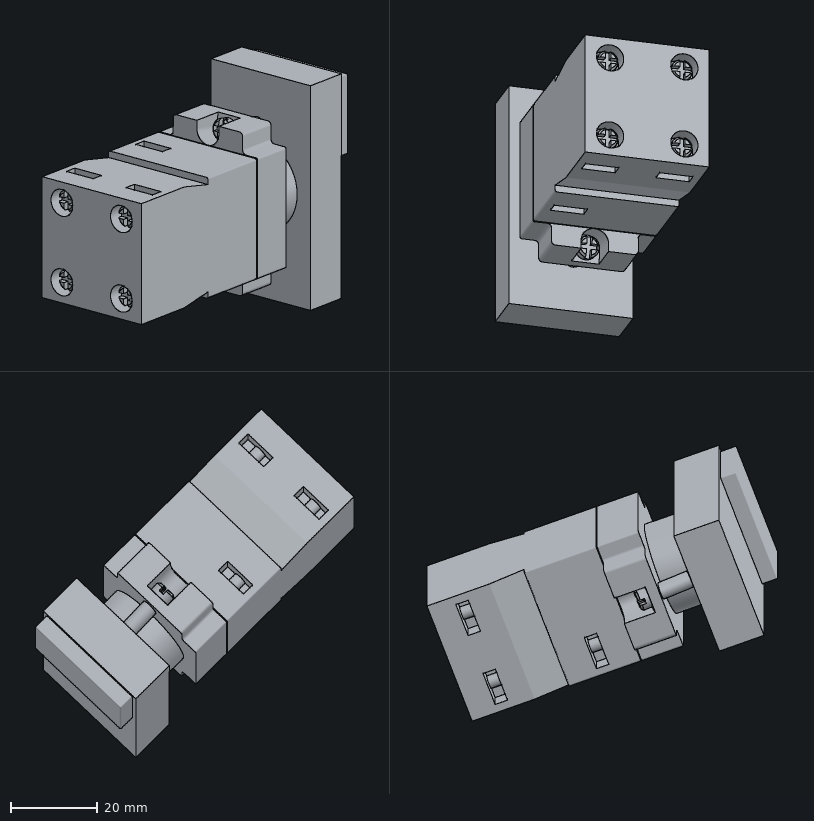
import cadquery as cq


CONTACT_END = 15.5
STEP_Y = 24.0
FLANGE_FRONT = 41.95
FLANGE_BACK = 52.2
BEZEL_FRONT = 61.0
BEZEL_BACK = 72.1
TOTAL_LENGTH = 76.0

WIDTH = 30.0
BODY_HEIGHT = 29.65
STEP_DEPTH = 1.7
CORNER_RADIUS = 0.5
JOINT_WIDTH = 0.19
JOINT_DEPTH = 0.15
BEZEL_HEIGHT = 55.0
BARREL_DIAMETER = 22.0
BUTTON_WIDTH = 27.75
BUTTON_BOTTOM = 6.7
BUTTON_TOP = 26.3
BUTTON_EDGE = 0.3

TAB_WIDTH = 21.0
FLANGE_HEIGHT = 40.1
TAB_RADIUS = 1.0

HEAD_DIAMETER = 5.1
HEAD_HEIGHT = 2.65
HEAD_CHAMFER = 0.5
SHAFT_DIAMETER = 3.2
CROSS_WIDTH = 1.3
CROSS_DEPTH = 1.5

SCREW_X = 9.0
SCREW_Z = 9.7
SCREW_HOLE_DIAMETER = 6.5
HEAD_RECESS = 1.5
SLOT_LENGTH = 8.05
SLOT_WIDTH = 3.05
CONTACT_SLOT_Y = 8.0
HOLDER_SLOT_Y = 33.0
TERMINAL_SCREW_LENGTH = HOLDER_SLOT_Y + SLOT_WIDTH

TILT = 10.0
CLAMP_Z = 18.1
CLAMP_HEAD_DIAMETER = 5.25
CLAMP_CROSS_LENGTH = 4.3
CLAMP_SHAFT_DIAMETER = 4.0
CLAMP_TIP_CHAMFER = 1.0
CLAMP_TIP = 18.7
POCKET_WIDTH = 6.6
POCKET_DEPTH = 7.2


def box(x_range, y_range, z_range):
    """Box between the given limits."""
    sizes = [high - low for low, high in (x_range, y_range, z_range)]
    corner = (x_range[0], y_range[0], z_range[0])
    return cq.Workplane("XY").box(*sizes, centered=False).translate(corner)


def centred_box(width, height, y_front, y_back):
    """Box centred on the Y axis between two Y positions."""
    return box((-width / 2, width / 2), (y_front, y_back), (-height / 2, height / 2))


def rod(diameter, y_front, y_back):
    """Cylinder on the Y axis between two Y positions."""
    plane = cq.Workplane("XZ", origin=(0, y_front, 0))
    return plane.circle(diameter / 2).extrude(y_front - y_back)


def screw(head_diameter, cross_length, shaft_diameter, length, tip_chamfer=0):
    """Cross-head screw on the Y axis with the top of its head at Y = 0."""
    head = rod(head_diameter, 0, HEAD_HEIGHT).faces("<Y").chamfer(HEAD_CHAMFER)
    head = head.cut(centred_box(CROSS_WIDTH, head_diameter, 0, CROSS_DEPTH))
    head = head.cut(centred_box(cross_length, CROSS_WIDTH, 0, CROSS_DEPTH))
    shaft = rod(shaft_diameter, HEAD_HEIGHT, length)
    if tip_chamfer:
        shaft = shaft.faces(">Y").chamfer(tip_chamfer)
    return head.union(shaft)


def contact_block_and_holder():
    """Contact block tapering down to the step, and the holder with its joint groove."""
    contact = (
        cq.Workplane("YZ")
        .moveTo(0, -BODY_HEIGHT / 2)
        .lineTo(CONTACT_END, -BODY_HEIGHT / 2)
        .lineTo(STEP_Y, STEP_DEPTH - BODY_HEIGHT / 2)
        .lineTo(STEP_Y, BODY_HEIGHT / 2 - STEP_DEPTH)
        .lineTo(CONTACT_END, BODY_HEIGHT / 2)
        .lineTo(0, BODY_HEIGHT / 2)
        .close()
        .extrude(WIDTH / 2, both=True)
    )
    holder = centred_box(WIDTH, BODY_HEIGHT, STEP_Y, FLANGE_FRONT - JOINT_WIDTH)
    joint = centred_box(
        WIDTH - 2 * JOINT_DEPTH,
        BODY_HEIGHT - 2 * JOINT_DEPTH,
        FLANGE_FRONT - JOINT_WIDTH,
        FLANGE_FRONT,
    )
    holder = holder.edges("|Y").fillet(CORNER_RADIUS)
    joint = joint.edges("|Y").fillet(CORNER_RADIUS - JOINT_DEPTH)
    return contact.union(holder).union(joint)


def flange():
    """Mounting flange with a rounded tab above and below."""
    plate = centred_box(WIDTH, BODY_HEIGHT, FLANGE_FRONT, FLANGE_BACK).edges("|Y").fillet(CORNER_RADIUS)
    tabs = centred_box(TAB_WIDTH, FLANGE_HEIGHT, FLANGE_FRONT, FLANGE_BACK).edges("|Y").fillet(TAB_RADIUS)
    margin = 0.1
    roots = cq.selectors.BoxSelector(
        (-TAB_WIDTH / 2 - margin, FLANGE_FRONT, -BODY_HEIGHT / 2 - margin),
        (TAB_WIDTH / 2 + margin, FLANGE_BACK, BODY_HEIGHT / 2 + margin),
    )
    return plate.union(tabs).edges("|Y").edges(roots).fillet(TAB_RADIUS)


def button_head():
    """Barrel, bezel and the push button in the upper half of the bezel."""
    barrel = rod(BARREL_DIAMETER, FLANGE_BACK, BEZEL_FRONT)
    bezel = centred_box(WIDTH, BEZEL_HEIGHT, BEZEL_FRONT, BEZEL_BACK)
    button = box(
        (-BUTTON_WIDTH / 2, BUTTON_WIDTH / 2),
        (BEZEL_BACK, TOTAL_LENGTH),
        (BUTTON_BOTTOM, BUTTON_TOP),
    )
    button = button.edges("|Y or >Y").fillet(BUTTON_EDGE)
    return barrel.union(bezel).union(button)


def wire_slots():
    """Wire slots cut from the top and bottom down to the terminal screw axes."""
    slots = cq.Workplane("XY")
    places = [(-SCREW_X, CONTACT_SLOT_Y), (SCREW_X, CONTACT_SLOT_Y), (-SCREW_X, HOLDER_SLOT_Y)]
    for x, y in places:
        for z_range in [(SCREW_Z, BODY_HEIGHT / 2), (-BODY_HEIGHT / 2, -SCREW_Z)]:
            slots = slots.union(box(
                (x - SLOT_LENGTH / 2, x + SLOT_LENGTH / 2),
                (y - SLOT_WIDTH / 2, y + SLOT_WIDTH / 2),
                z_range,
            ))
    return slots


def tilted(shape):
    """Move a shape from the Y axis onto the upper clamping screw axis."""
    return shape.rotate((0, 0, 0), (1, 0, 0), -TILT).translate((0, FLANGE_FRONT, CLAMP_Z))


def clamp_pocket():
    """U-shaped pocket around the clamping screw head, open at the tab end and at the front."""
    opening = FLANGE_HEIGHT / 2
    round_bottom = rod(POCKET_WIDTH, -POCKET_DEPTH, POCKET_DEPTH)
    open_side = box((-POCKET_WIDTH / 2, POCKET_WIDTH / 2), (-POCKET_DEPTH, POCKET_DEPTH), (0, opening))
    return tilted(round_bottom.union(open_side))


def clamp_screw():
    """Tilted screw standing on the pocket floor with its tip behind the flange."""
    head_top = POCKET_DEPTH - HEAD_HEIGHT
    upright = screw(
        CLAMP_HEAD_DIAMETER,
        CLAMP_CROSS_LENGTH,
        CLAMP_SHAFT_DIAMETER,
        CLAMP_TIP - head_top,
        CLAMP_TIP_CHAMFER,
    )
    return tilted(upright.translate((0, head_top, 0)))


result = contact_block_and_holder().union(flange()).union(button_head())
result = result.cut(wire_slots())

screw_hole = rod(SCREW_HOLE_DIAMETER, 0, HEAD_RECESS + HEAD_HEIGHT)
terminal_screw = screw(HEAD_DIAMETER, HEAD_DIAMETER, SHAFT_DIAMETER, TERMINAL_SCREW_LENGTH)
for x in (-SCREW_X, SCREW_X):
    for z in (-SCREW_Z, SCREW_Z):
        result = result.cut(screw_hole.translate((x, 0, z)))
        result = result.union(terminal_screw.translate((x, HEAD_RECESS, z)))

upper_clamp = clamp_screw()
upper_pocket = clamp_pocket()
result = result.cut(upper_pocket).cut(upper_pocket.mirror("XY"))
result = result.union(upper_clamp).union(upper_clamp.mirror("XY"))